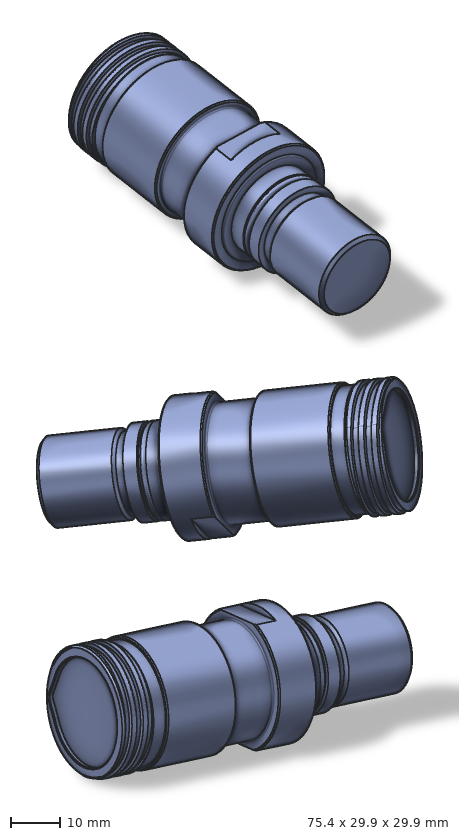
import cadquery as cq
import math

OVERALL_LENGTH = 75.4
THREAD_END = 8.0
BARREL_START = 10.9
BARREL_END = 28.1
FLANGE_START = 38.0
FLAT_END = 43.05
FLANGE_END = 47.4
LAND_END = 47.8
GROOVE_START = 51.5
GROOVE_END = 53.45
COLLAR_END = 56.4
TAIL_START = 58.4

BARREL_DIAMETER = 28.0
THREAD_ROOT_DIAMETER = 26.7
RELIEF_DIAMETER = 26.55
NECK_DIAMETER = 25.2
FLANGE_DIAMETER = 29.9
COLLAR_DIAMETER = 20.6
SEAL_FLOOR_DIAMETER = 18.7
REAR_NECK_DIAMETER = 17.5
TAIL_DIAMETER = 19.0

THREAD_LEAD = 0.45
THREAD_TAIL_BEVEL = 0.75
SMALL_CHAMFER = 0.3
NECK_FILLET = 0.4
LAND_ROUND = 0.3
TAIL_FRONT_BEVEL = 0.7
TAIL_CHAMFER = 0.75
MOUTH_CHAMFER = 0.2

ACROSS_FLATS = 27.0
THREAD_PITCH = 2.8
GROOVE_ROOT_WIDTH = 1.1
GROOVE_FLANK_ANGLE = 20.0
THREAD_PHASE = -0.1
GROOVE_OVERCUT = 0.45
BEAD_SECTION_DIAMETER = 1.4

BORE_DIAMETER = 23.0
KEY_REACH = 12.7
KEY_TIP_RADIUS = 1.65
KEY_HALF_WIDTH = 4.1
INSERT_RECESS = 1.05
INSERT_END = BARREL_END

CREST_RADIUS = BARREL_DIAMETER / 2
ROOT_RADIUS = THREAD_ROOT_DIAMETER / 2
TAIL_RADIUS = TAIL_DIAMETER / 2
BORE_RADIUS = BORE_DIAMETER / 2


def disc(start, end, diameter):
    """Cylinder on the X axis between two stations."""
    return cq.Workplane("YZ", origin=(start, 0, 0)).circle(diameter / 2).extrude(end - start)


def turned(points):
    """Solid turned about the X axis from an (x, radius) outline."""
    return cq.Workplane("XY").polyline(points).close().revolve(360, (0, 0, 0), (1, 0, 0))


def thread_groove_turn():
    """One turn of the left-hand helical groove with sloping flanks, starting at -Y."""
    depth = CREST_RADIUS - ROOT_RADIUS + GROOVE_OVERCUT
    half_root = GROOVE_ROOT_WIDTH / 2
    half_top = half_root + depth * math.tan(math.radians(GROOVE_FLANK_ANGLE))
    helix = cq.Wire.makeHelix(THREAD_PITCH, THREAD_PITCH, ROOT_RADIUS, lefthand=True)
    section = (
        cq.Workplane("XZ", origin=(ROOT_RADIUS, 0, 0))
        .polyline([(0, -half_root), (depth, -half_top), (depth, half_top), (0, half_root)])
        .close()
    )
    turn = section.sweep(cq.Workplane(helix), isFrenet=True)
    along_x = turn.rotate((0, 0, 0), (0, 1, 0), 90)
    return along_x.rotate((0, 0, 0), (1, 0, 0), 90).translate((THREAD_PHASE, 0, 0))


def threaded_mouth():
    """Thread crest cylinder, bevelled at both ends, with the helical groove cut turn by turn."""
    mouth = turned([
        (0, 0),
        (0, CREST_RADIUS - THREAD_LEAD),
        (THREAD_LEAD, CREST_RADIUS),
        (THREAD_END - THREAD_TAIL_BEVEL, CREST_RADIUS),
        (THREAD_END, RELIEF_DIAMETER / 2),
        (THREAD_END, 0),
    ])
    turn = thread_groove_turn()
    first_turn = -1
    past_last_turn = math.ceil(THREAD_END / THREAD_PITCH) + 1
    for index in range(first_turn, past_last_turn):
        mouth = mouth.cut(turn.translate((index * THREAD_PITCH, 0, 0)))
    return mouth


def barrel():
    """Relief band behind the thread and the chamfered grip cylinder."""
    relief = disc(THREAD_END, BARREL_START, RELIEF_DIAMETER)
    grip = disc(BARREL_START, BARREL_END, BARREL_DIAMETER).faces("<X or >X").chamfer(SMALL_CHAMFER)
    return relief.union(grip)


def neck():
    """Waist between barrel and flange, flared into both by a fillet."""
    radius = NECK_DIAMETER / 2
    flare = radius + NECK_FILLET
    mid_offset = NECK_FILLET * (1 - math.sqrt(0.5))
    return (
        cq.Workplane("XY")
        .moveTo(BARREL_END, 0)
        .lineTo(BARREL_END, flare)
        .threePointArc((BARREL_END + mid_offset, radius + mid_offset), (BARREL_END + NECK_FILLET, radius))
        .lineTo(FLANGE_START - NECK_FILLET, radius)
        .threePointArc((FLANGE_START - mid_offset, radius + mid_offset), (FLANGE_START, flare))
        .lineTo(FLANGE_START, 0)
        .close()
        .revolve(360, (0, 0, 0), (1, 0, 0))
    )


def flange():
    """Round flange with two opposite wrench flats on its front part and a rounded land behind."""
    body = disc(FLANGE_START, FLANGE_END, FLANGE_DIAMETER).faces("<X or >X").chamfer(SMALL_CHAMFER)
    flat_length = FLAT_END - FLANGE_START
    for side in (1, -1):
        cutter_height = FLANGE_DIAMETER - ACROSS_FLATS
        cutter_centre = side * (ACROSS_FLATS + cutter_height) / 2
        cutter = (
            cq.Workplane("XY")
            .box(flat_length, FLANGE_DIAMETER, cutter_height)
            .translate((FLANGE_START + flat_length / 2, 0, cutter_centre))
        )
        body = body.cut(cutter)
    land = disc(FLANGE_END, LAND_END, NECK_DIAMETER).faces(">X").edges().fillet(LAND_ROUND)
    return body.union(land)


def seal_collar():
    """Collar split by a seal groove, with a rounded sealing bead against the front groove wall."""
    collar_radius = COLLAR_DIAMETER / 2
    floor_radius = SEAL_FLOOR_DIAMETER / 2
    section_radius = BEAD_SECTION_DIAMETER / 2
    bead_x = GROOVE_START + section_radius
    bead_centre_radius = collar_radius - section_radius
    bead_foot_x = bead_x + math.sqrt(section_radius**2 - (bead_centre_radius - floor_radius)**2)
    return (
        cq.Workplane("XY")
        .moveTo(LAND_END, 0)
        .lineTo(LAND_END, collar_radius)
        .lineTo(GROOVE_START, collar_radius)
        .lineTo(GROOVE_START, bead_centre_radius)
        .threePointArc((bead_x, collar_radius), (bead_foot_x, floor_radius))
        .lineTo(GROOVE_END, floor_radius)
        .lineTo(GROOVE_END, collar_radius)
        .lineTo(COLLAR_END, collar_radius)
        .lineTo(COLLAR_END, 0)
        .close()
        .revolve(360, (0, 0, 0), (1, 0, 0))
    )


def tail():
    """Rear neck and the plain cylindrical tail with bevelled ends."""
    rear_neck_radius = REAR_NECK_DIAMETER / 2
    return turned([
        (COLLAR_END, 0),
        (COLLAR_END, rear_neck_radius),
        (TAIL_START, rear_neck_radius),
        (TAIL_START + TAIL_FRONT_BEVEL, TAIL_RADIUS),
        (OVERALL_LENGTH - TAIL_CHAMFER, TAIL_RADIUS),
        (OVERALL_LENGTH, TAIL_RADIUS - TAIL_CHAMFER),
        (OVERALL_LENGTH, 0),
    ])


def keyed_prism(start, end):
    """Round prism with one rounded key lobe toward +Y, filling the bore between two stations."""
    tip_centre = KEY_REACH - KEY_TIP_RADIUS
    landing_y = math.sqrt(BORE_RADIUS**2 - KEY_HALF_WIDTH**2)
    to_landing = math.hypot(landing_y - tip_centre, KEY_HALF_WIDTH)
    landing_angle = math.atan2(KEY_HALF_WIDTH, landing_y - tip_centre)
    tangent_angle = landing_angle - math.acos(KEY_TIP_RADIUS / to_landing)
    tangent_y = tip_centre + KEY_TIP_RADIUS * math.cos(tangent_angle)
    tangent_z = KEY_TIP_RADIUS * math.sin(tangent_angle)
    return (
        cq.Workplane("YZ", origin=(start, 0, 0))
        .moveTo(landing_y, -KEY_HALF_WIDTH)
        .lineTo(tangent_y, -tangent_z)
        .threePointArc((KEY_REACH, 0), (tangent_y, tangent_z))
        .lineTo(landing_y, KEY_HALF_WIDTH)
        .threePointArc((-BORE_RADIUS, 0), (landing_y, -KEY_HALF_WIDTH))
        .close()
        .extrude(end - start)
    )


def connector_housing():
    """Turned housing with a keyed bore whose rim is chamfered."""
    body = threaded_mouth()
    for section in (barrel(), neck(), flange(), seal_collar(), tail()):
        body = body.union(section)
    body = body.cut(keyed_prism(0, INSERT_END))
    rim = keyed_prism(0, MOUTH_CHAMFER).faces("<X").wires().toPending().offset2D(MOUTH_CHAMFER)
    return body.cut(rim.extrude(MOUTH_CHAMFER, taper=45, combine=False))


def keyed_insert():
    """Keyed plug that fills the bore, set back from the mouth."""
    return keyed_prism(INSERT_RECESS, INSERT_END)


housing = connector_housing()
insert = keyed_insert()

result = cq.Compound.makeCompound([housing.val(), insert.val()])